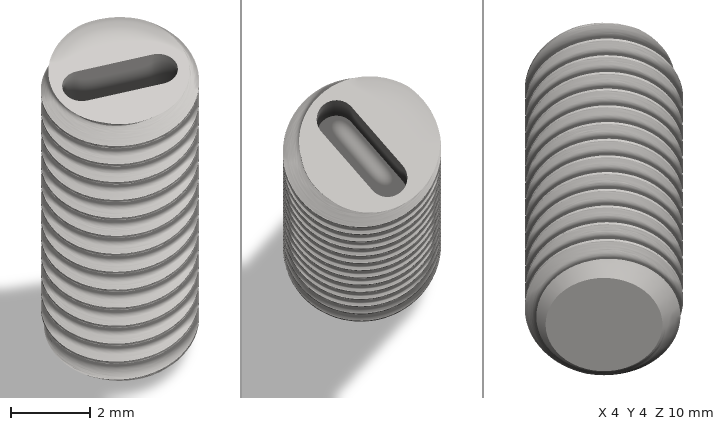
import cadquery as cq
import math

major_diameter = 4.0
root_diameter = 3.1
length = 10.0
pitch = 0.7
flank_angle = 30.0
crest_width = pitch / 8
crest_height_at_minus_x = 0.216
point_diameter = 2.95
slot_width = 1.0
slot_length = 3.0
slot_depth = 1.5
cutter_margin = 1.0
flank_steps = 24

major_radius = major_diameter / 2
root_radius = root_diameter / 2
point_radius = point_diameter / 2

degrees_per_mm = 360 / pitch
flank_width = (major_radius - root_radius) * math.tan(math.radians(flank_angle))
crest_half_sweep = crest_width * degrees_per_mm / 2
flank_sweep = flank_width * degrees_per_mm
crest_direction = 180 - crest_height_at_minus_x * degrees_per_mm


def polar_point(radius, angle):
    """Point at a radius and an angle in degrees from the middle of the crest."""
    turned = math.radians(crest_direction + angle)
    return (radius * math.cos(turned), radius * math.sin(turned))


def falling_flank(fraction):
    """Spiral from the crest down to the root."""
    radius = major_radius + fraction * (root_radius - major_radius)
    return polar_point(radius, crest_half_sweep + fraction * flank_sweep)


def rising_flank(fraction):
    """Spiral from the root up to the crest, mirrored about the crest direction."""
    radius = root_radius + fraction * (major_radius - root_radius)
    return polar_point(radius, -crest_half_sweep - (1 - fraction) * flank_sweep)


def threaded_rod():
    """Right-handed thread: its level cross-section twisted one turn per pitch."""
    section = (
        cq.Workplane("XY")
        .moveTo(*polar_point(major_radius, -crest_half_sweep))
        .threePointArc(polar_point(major_radius, 0), polar_point(major_radius, crest_half_sweep))
        .parametricCurve(falling_flank, N=flank_steps, makeWire=False)
        .moveTo(*falling_flank(1))
        .threePointArc(polar_point(root_radius, 180), rising_flank(0))
        .parametricCurve(rising_flank, N=flank_steps, makeWire=False)
        .wire()
    )
    return section.twistExtrude(length, length * degrees_per_mm)


def point_cutter():
    """Ring that cuts the 45 degree chamfer around the bottom end."""
    outer_radius = major_radius + cutter_margin
    top_height = outer_radius - point_radius
    return (
        cq.Workplane("XZ")
        .polyline([
            (point_radius - cutter_margin, -cutter_margin),
            (outer_radius, -cutter_margin),
            (outer_radius, top_height),
        ])
        .close()
        .revolve(360, (0, 0, 0), (0, 1, 0))
    )


def driver_slot():
    """Round-ended slot along Y, sunk into the top face."""
    return (
        cq.Workplane("XY", origin=(0, 0, length))
        .slot2D(slot_length, slot_width, 90)
        .extrude(-slot_depth)
    )


result = threaded_rod().cut(point_cutter()).cut(driver_slot())